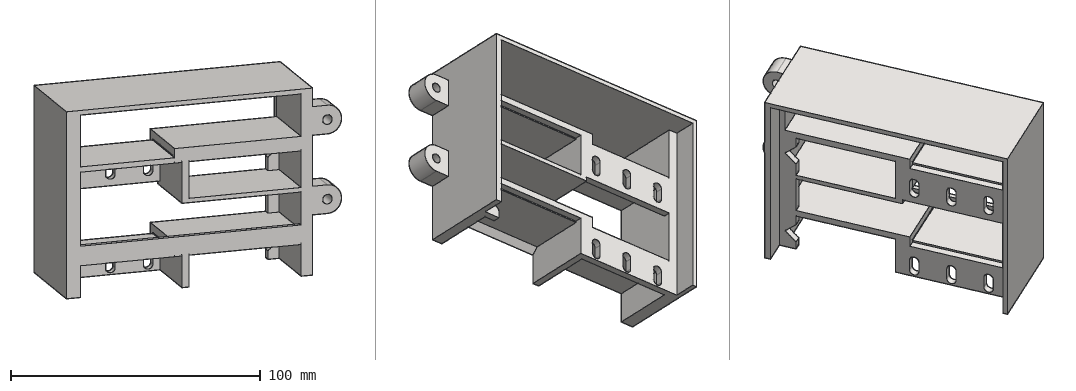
import cadquery as cq

depth = 40.0
height = 78.0
total_width = 116.4

tab_width = 12.0
tab_radius = tab_width / 2
tab_depth = 10.0
tab_hole_diameter = 4.0
tab_center_y = total_width - tab_radius
tab_center_heights = (31.1, 64.3)

body_width = 104.2
wall = 2.0
recess_y_min = wall
recess_y_max = 101.7
room_y_min = 5.9
room_y_max = 99.3
ceiling = height - wall

plate_front = 10.0
plate_thickness = 3.0
plate_back = plate_front + plate_thickness

tier_pitch = 39.0
tier_bases = (0, tier_pitch)
shelf_top = 19.3
shelf_step_y = 45.8
low_shelf_top = 15.5
low_shelf_thickness = 2.2
plate_step_top = 14.7
shelf_bottom = 16.0

ridge_drop = 2.7
ridge_bottom = shelf_bottom - ridge_drop

bay_y_min = 51.9
bay_window_y_max = 94.5
bay_window_top = 16.5
bay_wall = 3.0
bay_wall_y_min = bay_y_min - bay_wall

bay_floor_top = 37.0
bay_floor_thickness = 1.9
bay_floor_bottom = bay_floor_top - bay_floor_thickness

notch_height = 7.9
notch_half_width = 4.3
notch_depth = 4.7

slot_width = 4.0
slot_length = 8.8
slot_height = 5.2
slot_first_y = 12.0
slot_pitch = 16.0
slot_count = 3

lip_top = 21.4
lip_thickness = wall


def block(x_range, y_range, z_range):
    """Axis-aligned box between the given pairs of limits."""
    size = [limits[1] - limits[0] for limits in (x_range, y_range, z_range)]
    corner = (x_range[0], y_range[0], z_range[0])
    return cq.Workplane("XY").box(*size, centered=False).translate(corner)


def make_shell():
    """Top and two side walls, open at the front, back and bottom."""
    shell = block((0, depth), (0, body_width), (0, height))
    recess = block((0, plate_front), (recess_y_min, recess_y_max), (0, ceiling))
    room = block((plate_front, depth), (room_y_min, room_y_max), (0, ceiling))
    return shell.cut(recess).cut(room)


def make_tab(center_z):
    """Round-ended mounting ear with a hole along X."""
    back_x = depth - tab_depth
    z_range = (center_z - tab_radius, center_z + tab_radius)
    ear = block((back_x, depth), (body_width, tab_center_y), z_range)
    center = cq.Workplane("YZ", origin=(back_x, tab_center_y, center_z))
    ear = ear.union(center.circle(tab_radius).extrude(tab_depth))
    return ear.cut(center.circle(tab_hole_diameter / 2).extrude(tab_depth))


def make_faceplate():
    """Plate with the openings of both tiers, without notches and slots."""
    x_range = (plate_front, plate_back)
    plate = block(x_range, (room_y_min, room_y_max), (0, ceiling))
    upper_opening = (shelf_top + tier_pitch, ceiling)
    openings = [
        ((room_y_min, room_y_max), upper_opening),
        ((room_y_min, shelf_step_y), (plate_step_top + tier_pitch, ceiling)),
        ((bay_y_min, bay_window_y_max), (bay_floor_top, bay_window_top + tier_pitch)),
        ((room_y_min, bay_window_y_max), (shelf_top, bay_floor_bottom)),
        ((room_y_min, bay_wall_y_min), (shelf_top, bay_floor_top)),
        ((room_y_min, shelf_step_y), (plate_step_top, shelf_top)),
        ((bay_y_min, bay_window_y_max), (0, bay_window_top)),
    ]
    for y_range, z_range in openings:
        plate = plate.cut(block(x_range, y_range, z_range))
    return plate


def make_notch(base):
    """V-shaped cutter whose tip points toward +Y."""
    tip_z = base + notch_height
    outline = [
        (bay_window_y_max, tip_z - notch_half_width),
        (bay_window_y_max + notch_depth, tip_z),
        (bay_window_y_max, tip_z + notch_half_width),
    ]
    plane = cq.Workplane("YZ", origin=(plate_front, 0, 0))
    return plane.polyline(outline).close().extrude(plate_thickness)


def make_slots(base):
    """Row of upright slots through the faceplate."""
    centers = [(slot_first_y + i * slot_pitch, base + slot_height) for i in range(slot_count)]
    plane = cq.Workplane("YZ", origin=(plate_front, 0, 0))
    return plane.pushPoints(centers).slot2D(slot_length, slot_width, 90).extrude(plate_thickness)


def make_shelf(base):
    """Stepped shelf: a thick +Y part with the back ridge and a low -Y part."""
    profile = [
        (plate_back, base + shelf_top),
        (depth, base + shelf_top),
        (depth, base + ridge_bottom),
        (depth - ridge_drop, base + shelf_bottom),
        (plate_back, base + shelf_bottom),
    ]
    bay_shelf = cq.Workplane("XZ", origin=(0, room_y_max, 0)).polyline(profile).close()
    bay_shelf = bay_shelf.extrude(room_y_max - shelf_step_y)
    low_top = base + low_shelf_top
    low_z = (low_top - low_shelf_thickness, low_top)
    low_shelf = block((plate_back, depth), (room_y_min, shelf_step_y), low_z)
    return bay_shelf.union(low_shelf)


def make_bay_walls():
    """Side wall of each bay and the floor of the upper bay."""
    x_range = (plate_back, depth)
    wall_y = (bay_wall_y_min, bay_y_min)
    lower_wall = block(x_range, wall_y, (0, shelf_top))
    upper_wall = block(x_range, wall_y, (bay_floor_bottom, shelf_top + tier_pitch))
    floor = block(x_range, (bay_wall_y_min, room_y_max), (bay_floor_bottom, bay_floor_top))
    return lower_wall.union(upper_wall).union(floor)


def make_back_lip():
    """Strip standing on the back edge of the lower shelf, across its full width."""
    x_range = (depth - lip_thickness, depth)
    bay_part = block(x_range, (shelf_step_y, room_y_max), (shelf_bottom, lip_top))
    low_bottom = low_shelf_top - low_shelf_thickness
    low_part = block(x_range, (room_y_min, shelf_step_y), (low_bottom, lip_top))
    return bay_part.union(low_part)


faceplate = make_faceplate()
for tier_base in tier_bases:
    faceplate = faceplate.cut(make_notch(tier_base)).cut(make_slots(tier_base))

result = make_shell().union(faceplate).union(make_bay_walls())
for tier_base in tier_bases:
    result = result.union(make_shelf(tier_base))
for tab_center in tab_center_heights:
    result = result.union(make_tab(tab_center))

result = result.union(make_back_lip()).clean()